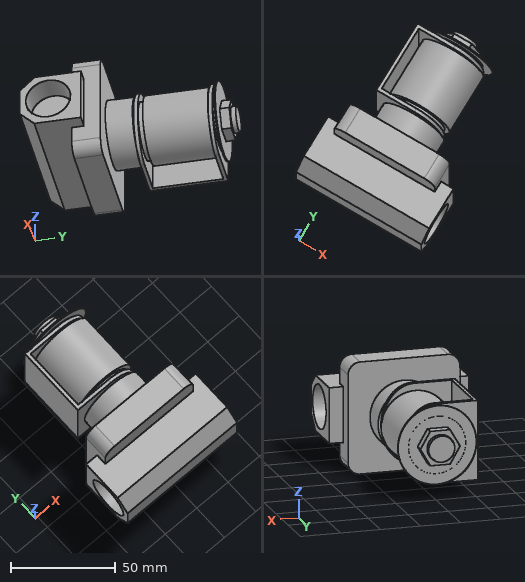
import cadquery as cq


block_length = 70.0
block_height = 27.9
block_back = 30.0
chamfer_depth = 7.2
chamfer_height = 7.0

port_diameter = 21.8
port_depth = 12.6
port_y = 14.0

flange_side = 56.0
flange_front = 24.0
flange_back = 38.1
flange_corner_radius = 6.0
collar_back = 51.3

coil_diameter = 34.1
coil_front = 56.3
coil_back = 88.1
neck_diameter = 28.6
stem_diameter = 13.1
stem_back = 99.7

bracket_thickness = 2.0
bracket_front = 51.6
bracket_back = coil_back + bracket_thickness
bracket_height = 39.7
bracket_left = -21.1
bracket_right = 15.7

washer_diameter = 39.3
washer_front = 91.9
washer_back = 92.5
nut_across_corners = 19.8
nut_back = 97.2


def plane_at(y):
    """Plane across the stem axis whose normal is +Y; its local axes are X and -Z."""
    return cq.Workplane("XZ", origin=(0, y, 0)).transformed(rotate=(180, 0, 0))


def cylinder(diameter, front, back):
    """Cylinder on the stem axis between two Y positions."""
    return plane_at(front).circle(diameter / 2).extrude(back - front)


def make_port_block():
    half_height = block_height / 2
    face_half_height = half_height - chamfer_height
    return (
        cq.Workplane("YZ")
        .moveTo(0, -face_half_height)
        .lineTo(chamfer_depth, -half_height)
        .lineTo(block_back, -half_height)
        .lineTo(block_back, half_height)
        .lineTo(chamfer_depth, half_height)
        .lineTo(0, face_half_height)
        .close()
        .extrude(block_length / 2, both=True)
    )


def make_port(side):
    """Cutter for the blind port in the end on the given side, -1 or 1 along X."""
    return (
        cq.Workplane("YZ", origin=(side * block_length / 2, 0, 0))
        .center(port_y, 0)
        .circle(port_diameter / 2)
        .extrude(-side * port_depth)
    )


def make_flange():
    return (
        plane_at(flange_front)
        .rect(flange_side, flange_side)
        .extrude(flange_back - flange_front)
        .edges("|Y")
        .fillet(flange_corner_radius)
    )


def make_valve():
    """Ported block, flange, collar and stem."""
    valve = make_port_block().union(make_flange())
    for side in (-1, 1):
        valve = valve.cut(make_port(side))
    valve = valve.union(cylinder(coil_diameter, flange_back, collar_back))
    return valve.union(cylinder(stem_diameter, collar_back, stem_back))


def make_bracket_arm(front):
    """Bracket arm: straight up to the stem axis, with a half-elliptical end beyond it."""
    straight = (
        plane_at(front)
        .center(bracket_left / 2, 0)
        .rect(-bracket_left, bracket_height)
        .extrude(bracket_thickness)
    )
    rounded = plane_at(front).ellipse(bracket_right, bracket_height / 2).extrude(bracket_thickness)
    return straight.union(rounded)


def make_bracket():
    bracket = cq.Workplane("XY").box(
        bracket_thickness, bracket_back - bracket_front, bracket_height, centered=(False, False, True)
    ).translate((bracket_left, bracket_front, 0))
    for front in (bracket_front, coil_back):
        bracket = bracket.union(make_bracket_arm(front))
    return bracket


def make_nut():
    return plane_at(washer_back).polygon(6, nut_across_corners).extrude(nut_back - washer_back)


def make_coil_unit():
    """Coil, bracket, washer and nut, bored to fit on the stem."""
    unit = make_bracket()
    unit = unit.union(cylinder(neck_diameter, bracket_front, washer_front))
    unit = unit.union(cylinder(coil_diameter, coil_front, coil_back))
    unit = unit.union(cylinder(washer_diameter, washer_front, washer_back))
    unit = unit.union(make_nut())
    return unit.cut(cylinder(stem_diameter, bracket_front, nut_back))


valve = make_valve()
coil_unit = make_coil_unit()

result = cq.Compound.makeCompound([valve.val(), coil_unit.val()])